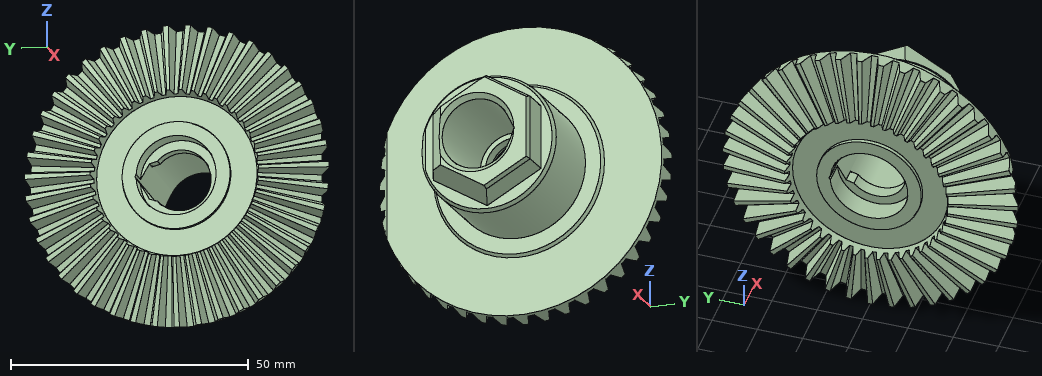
import cadquery as cq
import math

TOOTH_COUNT = 43
TIP_RADIUS = 32.6
TIP_INNER_RADIUS = 18.0
TIP_RISE = 2.75
TIP_SLOPE = TIP_RISE / (TIP_RADIUS - TIP_INNER_RADIUS)
APEX_X = -TIP_SLOPE * TIP_INNER_RADIUS
FLANGE_BACK_X = 7.05
PITCH = 2 * math.pi * TIP_RADIUS / TOOTH_COUNT
TIP_WIDTH = 1.2
ROOT_WIDTH = 1.45
ROOT_X = 6.2

RECESS_RADIUS = 17.15
RECESS_X = 2.85
RING_RADIUS = 11.55
RING_HEIGHT = 0.9

COLLAR_RADIUS = 19.0
COLLAR_END_X = 7.75
COLLAR_CHAMFER = 0.6
HUB_RADIUS = 15.05
HUB_END_X = 27.1
HUB_CHAMFER_LENGTH = 1.0
HUB_CHAMFER_DEPTH = 0.6

NOSE_END_X = 35.0
NOSE_APOTHEM = 12.0
NOSE_TAPER = 0.33
NOSE_CHAMFER_LENGTH = 1.05
NOSE_CHAMFER_DEPTH = 0.5

FRONT_BORE_RADIUS = 8.55
LAND_RADIUS = 6.5
LAND_LENGTH = 3.0
FRONT_BORE_DEPTH = 4.95
REAR_BORE_RADIUS = 7.6
MOUTH_CHAMFER = 1.1
PEAK_HALF_ANGLE = math.radians(60)
PEAK_Y = REAR_BORE_RADIUS / math.sin(PEAK_HALF_ANGLE)
LAND_NOTCH_Y = 4.5
LAND_NOTCH_HALF_WIDTH = 4.4

CUT_START_X = 3.05
CUT_END_Y = -7.6

CLEARANCE = 3.25

ring_x = RECESS_X - RING_HEIGHT
land_x = ring_x + FRONT_BORE_DEPTH
rear_bore_x = land_x + LAND_LENGTH


def x_cylinder(radius, start, end):
    """Cylinder on the X axis between two X positions."""
    return cq.Workplane("YZ", origin=(start, 0, 0)).circle(radius).extrude(end - start)


def turned_body():
    """Gear blank, collar and hub turned about the X axis."""
    outer_back_radius = TIP_RADIUS - TIP_SLOPE * (FLANGE_BACK_X - TIP_RISE)
    profile = [
        (ring_x, 0),
        (ring_x, RING_RADIUS),
        (RECESS_X, RING_RADIUS),
        (RECESS_X, RECESS_RADIUS),
        (0, TIP_INNER_RADIUS),
        (TIP_RISE, TIP_RADIUS),
        (FLANGE_BACK_X, outer_back_radius),
        (FLANGE_BACK_X, COLLAR_RADIUS),
        (COLLAR_END_X, COLLAR_RADIUS - COLLAR_CHAMFER),
        (COLLAR_END_X, HUB_RADIUS),
        (HUB_END_X - HUB_CHAMFER_LENGTH, HUB_RADIUS),
        (HUB_END_X, HUB_RADIUS - HUB_CHAMFER_DEPTH),
        (HUB_END_X, 0),
    ]
    return cq.Workplane("XY").polyline(profile).close().revolve(360, (0, 0, 0), (1, 0, 0))


def gap_outline(radius):
    """Trapezoid of one tooth gap, scaled from the cone apex to the given radius."""
    scale = radius / TIP_RADIUS
    root_half = ROOT_WIDTH / 2
    tip_half = (PITCH - TIP_WIDTH) / 2
    open_x = 2 * TIP_RISE - ROOT_X
    open_half = root_half + (tip_half - root_half) * (ROOT_X - open_x) / (ROOT_X - TIP_RISE)
    corners = [(open_x, -open_half), (open_x, open_half), (ROOT_X, root_half), (ROOT_X, -root_half)]
    points = [cq.Vector(APEX_X + (x - APEX_X) * scale, y * scale, radius) for x, y in corners]
    return cq.Wire.makePolygon(points, close=True)


def tooth_gaps():
    """All tooth gaps as one compound; the first points to +Z."""
    inner = RECESS_RADIUS - CLEARANCE
    outer = TIP_RADIUS + CLEARANCE
    gap = cq.Solid.makeLoft([gap_outline(inner), gap_outline(outer)], True)
    axis = cq.Vector(1, 0, 0)
    step = 360 / TOOTH_COUNT
    gaps = [gap.rotate(cq.Vector(), axis, i * step) for i in range(TOOTH_COUNT)]
    return cq.Workplane(obj=cq.Compound.makeCompound(gaps))


def nose_face_cutter(points, angle):
    """Material outside one nose face; points are (x, distance from the axis)."""
    far = 2 * HUB_RADIUS
    outline = points + [(points[-1][0], far), (points[0][0], far)]
    cutter = cq.Workplane("XY", origin=(0, 0, -far)).polyline(outline).close().extrude(2 * far)
    return cutter.rotate((0, 0, 0), (1, 0, 0), angle)


def nose():
    """Hexagon with three straight, end-chamfered faces and three tapered ones."""
    length = NOSE_END_X - HUB_END_X
    straight = [
        (HUB_END_X, NOSE_APOTHEM),
        (NOSE_END_X - NOSE_CHAMFER_LENGTH, NOSE_APOTHEM),
        (NOSE_END_X, NOSE_APOTHEM - NOSE_CHAMFER_DEPTH),
    ]
    tapered = [
        (HUB_END_X, NOSE_APOTHEM),
        (NOSE_END_X, NOSE_APOTHEM - NOSE_TAPER * length),
    ]
    body = x_cylinder(HUB_RADIUS, HUB_END_X, NOSE_END_X)
    for angle in (-60, 0, 60):
        body = body.cut(nose_face_cutter(straight, angle))
        body = body.cut(nose_face_cutter(tapered, angle + 180))
    return body


def bore():
    """Stepped bore with a peaked (teardrop) notch towards +Y."""
    front = x_cylinder(FRONT_BORE_RADIUS, ring_x, land_x)
    land = x_cylinder(LAND_RADIUS, land_x, rear_bore_x)
    rear = x_cylinder(REAR_BORE_RADIUS, rear_bore_x, NOSE_END_X)

    tangent_y = REAR_BORE_RADIUS * math.sin(PEAK_HALF_ANGLE)
    tangent_z = REAR_BORE_RADIUS * math.cos(PEAK_HALF_ANGLE)
    notch_outline = [
        (0, -LAND_NOTCH_HALF_WIDTH),
        (LAND_NOTCH_Y, -LAND_NOTCH_HALF_WIDTH),
        (tangent_y, -tangent_z),
        (PEAK_Y, 0),
        (tangent_y, tangent_z),
        (LAND_NOTCH_Y, LAND_NOTCH_HALF_WIDTH),
        (0, LAND_NOTCH_HALF_WIDTH),
    ]
    notch = (
        cq.Workplane("YZ", origin=(ring_x, 0, 0))
        .polyline(notch_outline).close().extrude(NOSE_END_X - ring_x)
    )
    mouth = (
        cq.Workplane("XY")
        .polyline([
            (NOSE_END_X - MOUTH_CHAMFER, 0),
            (NOSE_END_X - MOUTH_CHAMFER, REAR_BORE_RADIUS),
            (NOSE_END_X, REAR_BORE_RADIUS + MOUTH_CHAMFER),
            (NOSE_END_X, 0),
        ])
        .close().revolve(360, (0, 0, 0), (1, 0, 0))
    )
    return front.union(land).union(rear).union(notch).union(mouth)


def slanted_cut():
    """Wedge removing everything beyond one plane on the -Y side."""
    slope = (CUT_END_Y + TIP_RADIUS) / (NOSE_END_X - CUT_START_X)
    start_x = CUT_START_X - CLEARANCE
    end_x = NOSE_END_X + CLEARANCE
    start_y = -TIP_RADIUS - slope * CLEARANCE
    end_y = CUT_END_Y + slope * CLEARANCE
    return (
        cq.Workplane("XY", origin=(0, 0, -TIP_RADIUS))
        .polyline([(start_x, start_y), (end_x, end_y), (end_x, start_y)])
        .close().extrude(2 * TIP_RADIUS)
    )


gear = turned_body().cut(tooth_gaps())
result = gear.union(nose()).cut(bore()).cut(slanted_cut())